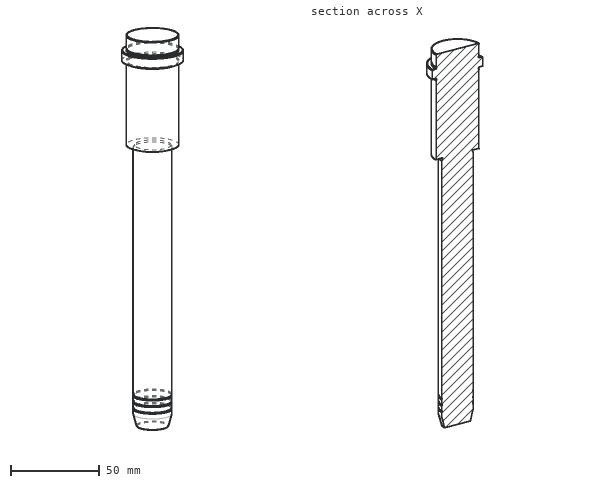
import cadquery as cq

TOTAL_LENGTH = 230.0
HEAD_LENGTH = 64.6
COLLAR_BOTTOM = 215.0
COLLAR_THICKNESS = 6.0
TAPER_TOP = 7.4
HEAD_BOTTOM = TOTAL_LENGTH - HEAD_LENGTH
COLLAR_TOP = COLLAR_BOTTOM + COLLAR_THICKNESS

COLLAR_DIAMETER = 35.0
HEAD_DIAMETER = 30.0
SHAFT_DIAMETER = 22.0
TIP_DIAMETER = 18.5

EDGE_CHAMFER = 0.5

SHOULDER_HEIGHT = 1.4
SHOULDER_DEPTH = 0.7

GROOVE_COUNT = 3
FIRST_GROOVE = 10.5
GROOVE_PITCH = 4.0
GROOVE_WIDTH = 1.0
GROOVE_DEPTH = 0.5

RELIEF_WIDTH = 1.2
RELIEF_DEPTH = 0.5


def revolve_about_z(points):
    """Solid of revolution from (radius, height) points."""
    return cq.Workplane("XZ").polyline(points).close().revolve(360, (0, 0, 0), (0, 1, 0))


def disc(diameter, bottom, top):
    """Cylinder on the Z axis, chamfered around its top edge."""
    body = cq.Workplane("XY").workplane(offset=bottom).circle(diameter / 2).extrude(top - bottom)
    return body.faces(">Z").edges().chamfer(EDGE_CHAMFER)


def v_groove(diameter, center, width, depth):
    """Cutting ring with a V section whose mouth lies on the given diameter."""
    radius = diameter / 2
    return revolve_about_z([
        (radius + depth, center - width),
        (radius - depth, center),
        (radius + depth, center + width),
    ])


def make_shaft():
    """Shaft with a tapered tip, a chamfer under the head and oil grooves."""
    radius = SHAFT_DIAMETER / 2
    tip_radius = TIP_DIAMETER / 2
    shaft = revolve_about_z([
        (0, 0),
        (tip_radius - EDGE_CHAMFER, 0),
        (tip_radius, EDGE_CHAMFER),
        (radius, TAPER_TOP),
        (radius, HEAD_BOTTOM - SHOULDER_HEIGHT),
        (radius - SHOULDER_DEPTH, HEAD_BOTTOM),
        (0, HEAD_BOTTOM),
    ])
    for index in range(GROOVE_COUNT):
        center = FIRST_GROOVE + index * GROOVE_PITCH
        shaft = shaft.cut(v_groove(SHAFT_DIAMETER, center, GROOVE_WIDTH, GROOVE_DEPTH))
    return shaft


def make_head():
    """Head cylinder with a collar and a relief groove on each side of it."""
    head = disc(HEAD_DIAMETER, HEAD_BOTTOM, TOTAL_LENGTH)
    half_relief = RELIEF_WIDTH / 2
    for center in (COLLAR_BOTTOM - half_relief, COLLAR_TOP + half_relief):
        head = head.cut(v_groove(HEAD_DIAMETER, center, RELIEF_WIDTH, RELIEF_DEPTH))
    return head.union(disc(COLLAR_DIAMETER, COLLAR_BOTTOM, COLLAR_TOP))


result = make_shaft().union(make_head())